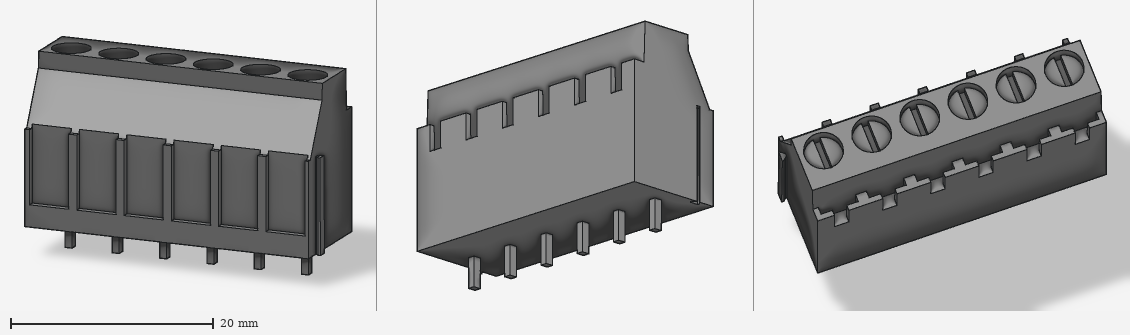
import cadquery as cq

pole_count = 6
pitch = 5.08
body_length = pole_count * pitch
body_depth = 11.0
body_height = 17.1

front_step_height = 10.0
front_step_depth = 0.5
slope_top_y = 3.45
slope_top_z = 15.4
crown_front_y = 3.55
crown_back_y = 9.5
rear_ledge_y = 9.65
rear_ledge_z = 12.8

pin_width = 0.75
pin_depth = 0.9
pin_length = 3.2
pin_y = 5.55

panel_width = 4.2
panel_bottom_z = 2.3
panel_depth = 0.72
panel_offset = 0.08

screw_diameter = 3.92
screw_y = 5.85
screw_recess = 1.2
driver_slot_width = 0.7
driver_slot_depth = 1.0

marker_width = 3.92
marker_mouth_width = 1.5
marker_lip_top = 0.58
marker_lip_bottom = 0.66
marker_depth = rear_ledge_z - front_step_height

dovetail_y = 2.05
dovetail_projection = 0.65
dovetail_top_projection = 0.57
dovetail_neck_length = 0.12
dovetail_flare = 0.28
dovetail_neck_width = 0.45
dovetail_width = dovetail_neck_width + 2 * dovetail_flare
dovetail_head_x = dovetail_neck_length + dovetail_flare

pole_centers = [(pole + 0.5) * pitch for pole in range(pole_count)]


def box(x_start, y_start, z_start, x_size, y_size, z_size):
    """Axis-aligned box placed by its minimum corner."""
    corner = (x_start, y_start, z_start)
    return cq.Workplane("XY").box(x_size, y_size, z_size, centered=False).translate(corner)


def make_body():
    """Constant end profile extruded along the full row of poles."""
    profile = [
        (0, 0),
        (body_depth, 0),
        (body_depth, rear_ledge_z),
        (rear_ledge_y, rear_ledge_z),
        (crown_back_y, body_height),
        (crown_front_y, body_height),
        (slope_top_y, slope_top_z),
        (front_step_depth, front_step_height),
        (0, front_step_height),
    ]
    return cq.Workplane("YZ").polyline(profile).close().extrude(body_length)


def make_pin(x_center):
    """Rectangular solder pin below the body."""
    return box(x_center - pin_width / 2, pin_y - pin_depth / 2, -pin_length, pin_width, pin_depth, pin_length)


def make_front_panel(x_center):
    """Cutter for one recessed panel in the front face."""
    x_start = x_center + panel_offset - panel_width / 2
    return box(x_start, 0, panel_bottom_z, panel_width, panel_depth, body_height - panel_bottom_z)


def make_screw_well(x_center):
    """Cutter for a round screw well with a driver slot in its floor."""
    head_z = body_height - screw_recess
    slot_bottom_z = head_z - driver_slot_depth
    cylinder = (
        cq.Workplane("XY", origin=(x_center, screw_y, slot_bottom_z))
        .circle(screw_diameter / 2)
        .extrude(body_height - slot_bottom_z)
    )
    slot_x = x_center - driver_slot_width / 2
    slot = box(slot_x, 0, slot_bottom_z, driver_slot_width, body_depth, driver_slot_depth)
    well = box(0, 0, head_z, body_length, body_depth, screw_recess)
    return cylinder.intersect(slot.union(well))


def make_marker_slot(x_center):
    """Cutter for a T-shaped slot through the rear face, with a slightly tapered lip."""
    floor_z = rear_ledge_z - marker_depth
    pocket_profile = [
        (rear_ledge_y, floor_z),
        (body_depth - marker_lip_bottom, floor_z),
        (body_depth - marker_lip_top, rear_ledge_z),
        (rear_ledge_y, rear_ledge_z),
    ]
    pocket = (
        cq.Workplane("YZ", origin=(x_center - marker_width / 2, 0, 0))
        .polyline(pocket_profile)
        .close()
        .extrude(marker_width)
    )
    mouth = box(
        x_center - marker_mouth_width / 2, rear_ledge_y, floor_z,
        marker_mouth_width, body_depth - rear_ledge_y, marker_depth,
    )
    return pocket.union(mouth)


def make_dovetail(x_base):
    """Vertical dovetail starting at x_base, widening toward +X, with its tip leaning in at the top."""
    neck = dovetail_neck_width / 2
    head = dovetail_width / 2
    outline = [
        (0, -neck),
        (dovetail_neck_length, -neck),
        (dovetail_head_x, -head),
        (dovetail_projection, -head),
        (dovetail_projection, head),
        (dovetail_head_x, head),
        (dovetail_neck_length, neck),
        (0, neck),
    ]
    prism = cq.Workplane("XY").polyline(outline).close().extrude(front_step_height)
    side_profile = [
        (0, 0),
        (dovetail_projection, 0),
        (dovetail_top_projection, front_step_height),
        (0, front_step_height),
    ]
    tapered_slab = cq.Workplane("XZ").polyline(side_profile).close().extrude(head, both=True)
    return prism.intersect(tapered_slab).translate((x_base, dovetail_y, 0))


result = make_body()
for pole_x in pole_centers:
    result = result.union(make_pin(pole_x))
    result = result.cut(make_front_panel(pole_x))
    result = result.cut(make_screw_well(pole_x))
    result = result.cut(make_marker_slot(pole_x))
result = result.cut(make_dovetail(0))
result = result.union(make_dovetail(body_length))